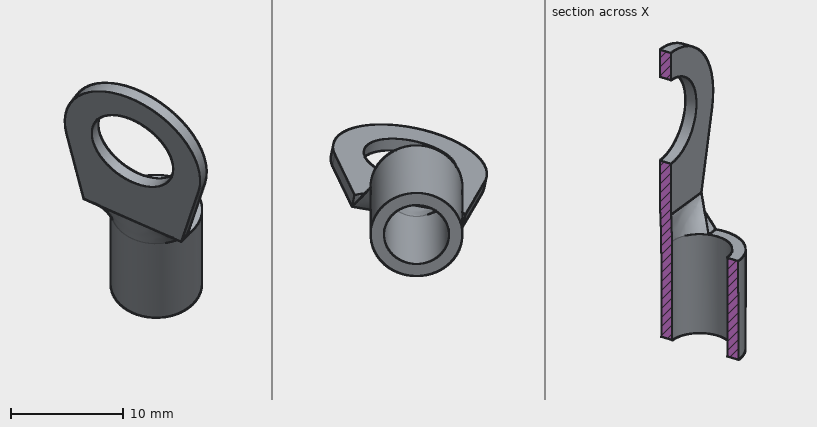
import cadquery as cq
import math

TOTAL_HEIGHT = 28.97
BARREL_DIAMETER = 8.2
BORE_RADIUS = 2.9
BARREL_HEIGHT = 10.0

EYE_DIAMETER = 14.0
EYE_HOLE_RADIUS = 4.2
TONGUE_THICKNESS = 1.2
TONGUE_FRONT_OFFSET = 0.12
TONGUE_BASE_Z = 12.63
TONGUE_BASE_HALF_WIDTH = 5.05

NECK_BACK_Y = -0.85

barrel_radius = BARREL_DIAMETER / 2
eye_radius = EYE_DIAMETER / 2
eye_center_z = TOTAL_HEIGHT - eye_radius
tongue_front_y = -barrel_radius - TONGUE_FRONT_OFFSET
tongue_back_y = tongue_front_y + TONGUE_THICKNESS


def make_barrel():
    return cq.Workplane("XY").circle(barrel_radius).circle(BORE_RADIUS).extrude(BARREL_HEIGHT)


def make_tongue():
    drop = eye_center_z - TONGUE_BASE_Z
    corner_distance = math.hypot(TONGUE_BASE_HALF_WIDTH, drop)
    corner_angle = math.atan2(-drop, TONGUE_BASE_HALF_WIDTH)
    tangent_angle = corner_angle + math.acos(eye_radius / corner_distance)
    tangent_x = eye_radius * math.cos(tangent_angle)
    tangent_z = eye_center_z + eye_radius * math.sin(tangent_angle)

    return (
        cq.Workplane("XZ", origin=(0, tongue_back_y, 0))
        .moveTo(-TONGUE_BASE_HALF_WIDTH, TONGUE_BASE_Z)
        .lineTo(TONGUE_BASE_HALF_WIDTH, TONGUE_BASE_Z)
        .lineTo(tangent_x, tangent_z)
        .threePointArc((0, TOTAL_HEIGHT), (-tangent_x, tangent_z))
        .close()
        .moveTo(0, eye_center_z)
        .circle(EYE_HOLE_RADIUS)
        .extrude(TONGUE_THICKNESS)
    )


def barrel_wall_corners(radius):
    end_x = math.sqrt(radius**2 - NECK_BACK_Y**2)
    return [
        cq.Vector(-end_x, NECK_BACK_Y, BARREL_HEIGHT),
        cq.Vector(0, -radius, BARREL_HEIGHT),
        cq.Vector(end_x, NECK_BACK_Y, BARREL_HEIGHT),
    ]


def make_neck():
    outer_left, outer_middle, outer_right = barrel_wall_corners(barrel_radius)
    inner_left, inner_middle, inner_right = barrel_wall_corners(BORE_RADIUS)
    front_left = cq.Vector(-TONGUE_BASE_HALF_WIDTH, tongue_front_y, TONGUE_BASE_Z)
    front_right = cq.Vector(TONGUE_BASE_HALF_WIDTH, tongue_front_y, TONGUE_BASE_Z)
    back_left = cq.Vector(-TONGUE_BASE_HALF_WIDTH, tongue_back_y, TONGUE_BASE_Z)
    back_right = cq.Vector(TONGUE_BASE_HALF_WIDTH, tongue_back_y, TONGUE_BASE_Z)

    lower_edges = [
        cq.Edge.makeThreePointArc(outer_left, outer_middle, outer_right),
        cq.Edge.makeLine(outer_right, inner_right),
        cq.Edge.makeThreePointArc(inner_right, inner_middle, inner_left),
        cq.Edge.makeLine(inner_left, outer_left),
    ]
    upper_edges = [
        cq.Edge.makeLine(front_left, front_right),
        cq.Edge.makeLine(front_right, back_right),
        cq.Edge.makeLine(back_right, back_left),
        cq.Edge.makeLine(back_left, front_left),
    ]
    faces = [
        cq.Face.makeRuledSurface(lower, upper)
        for lower, upper in zip(lower_edges, upper_edges)
    ]
    for edges in (lower_edges, upper_edges):
        faces.append(cq.Face.makeFromWires(cq.Wire.assembleEdges(edges)))
    return cq.Workplane(cq.Solid.makeSolid(cq.Shell.makeShell(faces)).fix())


result = make_barrel().union(make_neck()).union(make_tongue())